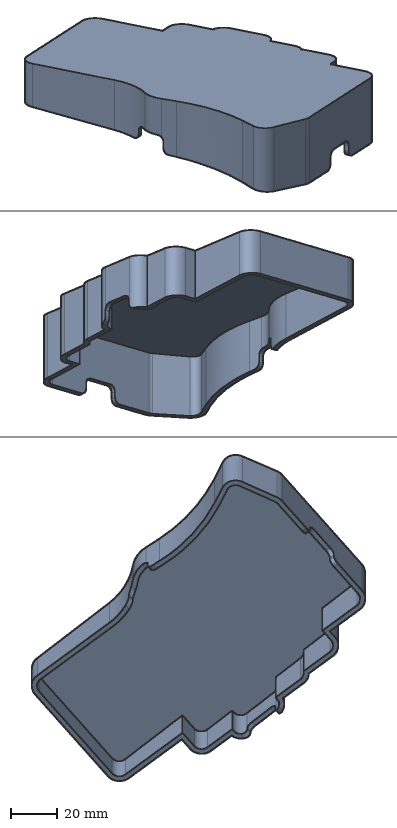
import cadquery as cq
import math

length = 142.0
height = 30.2
low_end_height = 19.6
wall = 2.3
corner_radius = 6.4

half_length = length / 2
top_z = height / 2
bottom_z = -top_z

shoulder_y = 32.4
heel_y = -29.5

bulge_start_x = -24.3
bulge_end = (-5.5, -36.3)
flat_start = (4.3, -39.3)
flat_end = (11.4, -38.8)
sweep_end = (47.4, -45.1)
toe_tilt = math.radians(25.5)
toe_edge_length = 14.5

crown_blocks = [
    (-34.9, 29.7, 44.3),
    (-34.9, 47.8, 42.2),
    (-17.0, 11.8, 49.3),
]

lip_radius = 2.8
cross_notch_x = -2.5
cross_notch_width = 15.6
cross_notch_depth = 17.0
cross_notch_radius = 2.8
end_notch_y = -1.0
end_notch_width = 16.0
end_notch_height = 8.2
end_notch_radius = 2.8


def main_body():
    toe_corner = (
        sweep_end[0] + toe_edge_length * math.cos(toe_tilt),
        sweep_end[1] - toe_edge_length * math.sin(toe_tilt),
    )
    toe_side_y = toe_corner[1] + (half_length - toe_corner[0]) / math.tan(toe_tilt)
    body = (
        cq.Workplane("XY", origin=(0, 0, bottom_z))
        .moveTo(-half_length, heel_y)
        .lineTo(bulge_start_x, heel_y)
        .tangentArcPoint(bulge_end, relative=False)
        .tangentArcPoint(flat_start, relative=False)
        .lineTo(*flat_end)
        .tangentArcPoint(sweep_end, relative=False)
        .lineTo(*toe_corner)
        .lineTo(half_length, toe_side_y)
        .lineTo(half_length, shoulder_y)
        .lineTo(-half_length, shoulder_y)
        .close()
        .extrude(height)
    )
    rounded_corners = [
        (-half_length, heel_y),
        toe_corner,
        (half_length, toe_side_y),
        (half_length, shoulder_y),
        (-half_length, shoulder_y),
    ]
    for x, y in rounded_corners:
        corner_edge = cq.selectors.NearestToPointSelector((x, y, 0))
        body = body.edges("|Z").edges(corner_edge).fillet(corner_radius)
    return body


def crown_block(left_x, right_x, top_y):
    """One step of the crown, reaching back to y = 0 inside the main body."""
    return (
        cq.Workplane("XY")
        .box(right_x - left_x, top_y, height, centered=(False, False, True))
        .translate((left_x, 0, 0))
        .edges("|Z and >Y")
        .fillet(corner_radius)
    )


def cavity(block):
    """Inside of one outer block, open at the bottom."""
    return (
        block.faces("<Z")
        .wires()
        .toPending()
        .offset2D(-wall)
        .extrude(height - wall, combine=False)
    )


def below_rim():
    """Wedge that trims the walls to the sloping rim."""
    return (
        cq.Workplane("XZ")
        .moveTo(-half_length, top_z - low_end_height)
        .lineTo(half_length, bottom_z)
        .lineTo(-half_length, bottom_z)
        .close()
        .extrude(length, both=True)
    )


def cross_notch():
    """Notch through the front and back walls."""
    return (
        cq.Workplane("XY")
        .box(cross_notch_width, 2 * length, height)
        .edges("|Y and >Z")
        .fillet(cross_notch_radius)
        .translate((cross_notch_x, 0, -cross_notch_depth))
    )


def end_notch():
    """Notch through the +X wall only."""
    return (
        cq.Workplane("XY")
        .box(half_length, end_notch_width, 2 * end_notch_height)
        .edges("|X and >Z")
        .fillet(end_notch_radius)
        .translate((half_length, end_notch_y, bottom_z))
    )


def round_cross_lips(part):
    """Round the lower corners of the cross notch in both walls."""
    reach = cross_notch_width / 2 + lip_radius
    tangent_z = top_z - cross_notch_depth - cross_notch_radius
    lips = cq.selectors.BoxSelector(
        (cross_notch_x - reach, -length, bottom_z),
        (cross_notch_x + reach, length, tangent_z - lip_radius),
    )
    return part.edges("|Y").edges(lips).fillet(lip_radius)


def round_end_lips(part):
    """Round the two lower corners of the end notch."""
    for side in (-1, 1):
        lip = cq.selectors.NearestToPointSelector(
            (half_length - wall / 2, end_notch_y + side * end_notch_width / 2, bottom_z)
        )
        part = part.edges(lip).fillet(lip_radius)
    return part


blocks = [main_body()] + [crown_block(*sizes) for sizes in crown_blocks]

result = blocks[0]
for block in blocks[1:]:
    result = result.union(block)
for block in blocks:
    result = result.cut(cavity(block))

result = result.cut(below_rim()).cut(cross_notch()).cut(end_notch())
result = round_cross_lips(result)
result = round_end_lips(result)